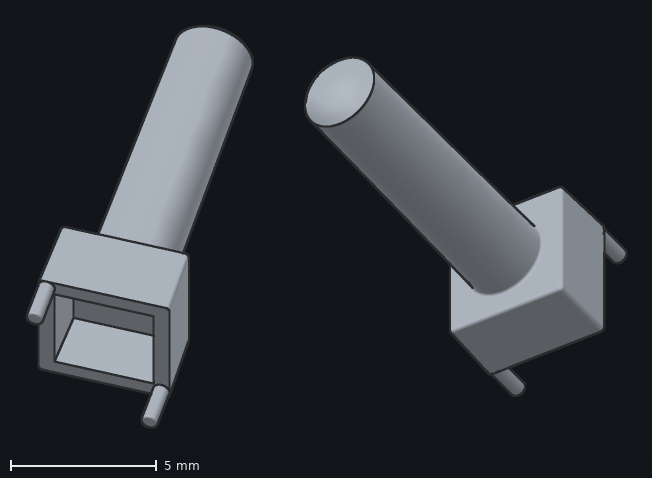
import cadquery as cq

total_length = 15.62
pin_length = 1.52

block_front_width = 4.7
block_back_width = 4.6
block_depth = 2.69
block_edge_radius = 0.15

pocket_mouth_width = 3.55
pocket_floor_width = 3.35
pocket_depth = 2.0

shaft_base_radius = 1.5
shaft_tip_radius = 1.4
shaft_root_fillet = 0.12
dome_height = 0.67

pin_radius = 0.3
pin_tip_rounding = 0.08

tip_y = total_length - pin_length
dome_base_y = tip_y - dome_height
pin_offset = block_front_width / 2 - pin_radius
dome_radius = (shaft_tip_radius**2 + dome_height**2) / (2 * dome_height)
dome_mid_x = shaft_tip_radius / 2
dome_mid_y = tip_y - dome_radius + (dome_radius**2 - dome_mid_x**2) ** 0.5


def tapered_square(front_width, back_width, depth):
    """Square frustum from Y = 0 to Y = depth, centred on the Y axis."""
    return (
        cq.Workplane("XZ")
        .rect(front_width, front_width)
        .workplane(offset=-depth)
        .rect(back_width, back_width)
        .loft(ruled=True, combine=True)
    )


def make_block():
    """Drafted block with all edges rounded except those of the open face."""
    block = tapered_square(block_front_width, block_back_width, block_depth)
    rounded_edges = block.edges("not <Y")
    return rounded_edges.fillet(block_edge_radius)


def make_shaft():
    """Slightly conical shaft with a domed tip."""
    return (
        cq.Workplane("XY")
        .moveTo(0, block_depth)
        .lineTo(shaft_base_radius, block_depth)
        .lineTo(shaft_tip_radius, dome_base_y)
        .threePointArc((dome_mid_x, dome_mid_y), (0, tip_y))
        .close()
        .revolve(360, (0, 0, 0), (0, 1, 0))
    )


def make_pins():
    """Two round-tipped pins at diagonally opposite corners of the open face."""
    return (
        cq.Workplane("XZ")
        .pushPoints([(-pin_offset, pin_offset), (pin_offset, -pin_offset)])
        .circle(pin_radius)
        .extrude(pin_length)
        .faces("<Y")
        .edges()
        .fillet(pin_tip_rounding)
    )


body = make_block().union(make_shaft())

root_reach = shaft_base_radius + shaft_root_fillet
root_selector = cq.selectors.BoxSelector(
    (-root_reach, block_depth - shaft_root_fillet, -root_reach),
    (root_reach, block_depth + shaft_root_fillet, root_reach),
    boundingbox=True,
)
body = body.edges(root_selector).edges("%CIRCLE").fillet(shaft_root_fillet)

pocket = tapered_square(pocket_mouth_width, pocket_floor_width, pocket_depth)
result = body.cut(pocket).union(make_pins())